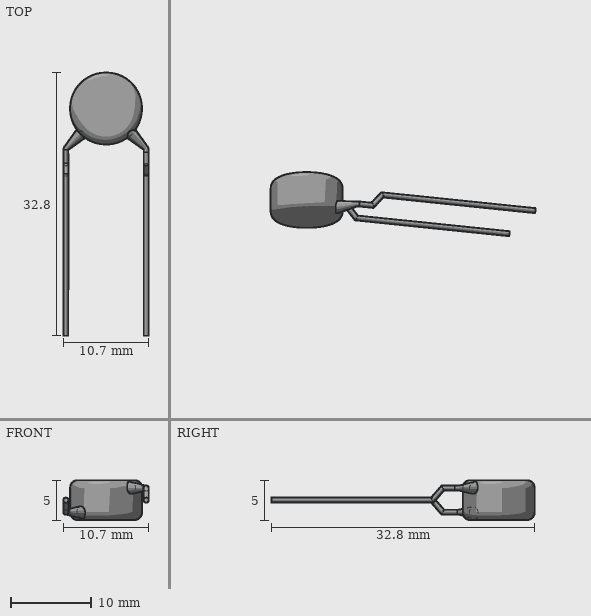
import cadquery as cq
import math


disc_diameter = 9.0
disc_thickness = 5.0
disc_edge_radius = 1.0

wire_radius = 0.325
lead_spacing = 10.0
lead_x = lead_spacing / 2
lead_offset_z = disc_thickness / 2 - disc_edge_radius
lead_end_y = -28.3
kink_start_y = -6.95
kink_end_y = -8.25

sleeve_angle = 45.0
sleeve_root_distance = 4.0
sleeve_root_radius = 0.82
elbow_bend_radius = 0.35
right_tail_length = 0.3
left_tail_length = 0.0

sleeve_cos = math.cos(math.radians(sleeve_angle))
sleeve_sin = math.sin(math.radians(sleeve_angle))
elbow_center_x = lead_x - elbow_bend_radius
elbow_start_x = elbow_center_x + elbow_bend_radius * sleeve_sin
sleeve_tip_distance = elbow_start_x / sleeve_cos
elbow_start_y = -sleeve_tip_distance * sleeve_sin
elbow_end_y = elbow_start_y - elbow_bend_radius * sleeve_cos


def make_disc():
    blank = cq.Workplane("XY").cylinder(disc_thickness, disc_diameter / 2)
    return blank.edges("%CIRCLE").fillet(disc_edge_radius)


def make_sleeve(disc, tail_length):
    """Cone from the disc, an elbow turning it to -Y and, if tail_length is not 0, a straight tail."""
    outward = cq.Vector(sleeve_cos, -sleeve_sin, 0)
    lift = cq.Vector(0, 0, lead_offset_z)
    cone = cq.Solid.makeCone(
        sleeve_root_radius,
        wire_radius,
        sleeve_tip_distance - sleeve_root_distance,
        outward * sleeve_root_distance + lift,
        outward,
    )

    tip_plane = cq.Plane(
        origin=(elbow_start_x, elbow_start_y, lead_offset_z), xDir=(0, 0, 1), normal=outward.toTuple()
    )
    elbow = (
        cq.Workplane(tip_plane)
        .circle(wire_radius)
        .revolve(90 - sleeve_angle, (0, elbow_bend_radius), (-1, elbow_bend_radius))
    )
    sleeve = cq.Workplane(cone).union(elbow)

    if tail_length > 0:
        tail_plane = cq.Plane(origin=(lead_x, elbow_end_y, lead_offset_z), xDir=(1, 0, 0), normal=(0, -1, 0))
        sleeve = sleeve.union(cq.Workplane(tail_plane).circle(wire_radius).extrude(tail_length))
    return sleeve.cut(disc)


def make_lead(tail_length):
    """Wire from the end of a sleeve, mitred at both corners of its kink."""
    start = (lead_x, elbow_end_y - tail_length, lead_offset_z)
    path = cq.Workplane("XY").polyline([
        start,
        (lead_x, kink_start_y, lead_offset_z),
        (lead_x, kink_end_y, 0),
        (lead_x, lead_end_y, 0),
    ])
    start_plane = cq.Plane(origin=start, xDir=(1, 0, 0), normal=(0, -1, 0))
    return cq.Workplane(start_plane).circle(wire_radius).sweep(path, transition="right")


disc = make_disc()
bodies = disc.solids().vals()

for turn, tail_length in ((0, right_tail_length), (180, left_tail_length)):
    for body in (make_sleeve(disc, tail_length), make_lead(tail_length)):
        turned = body.rotate((0, 0, 0), (0, 1, 0), turn)
        bodies.extend(turned.solids().vals())

result = cq.Compound.makeCompound(bodies)